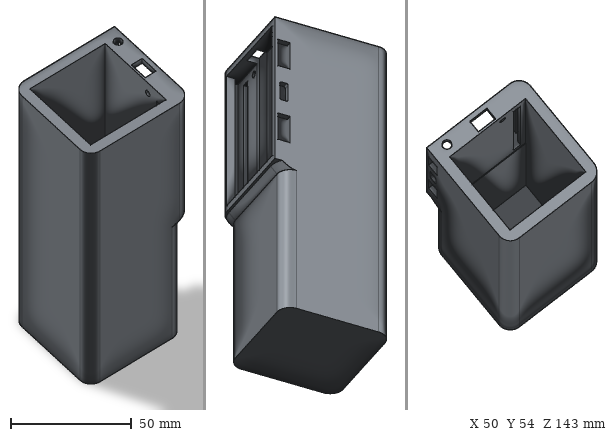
import cadquery as cq

height = 143
width = 50
corner_radius = 6.0
housing_depth = 4.0
housing_bottom = 72.1
ramp_size = 3.0

left = -width / 2
right = width / 2
front = -(width + housing_depth) / 2
tower_rear = front + width
rear = tower_rear + housing_depth

wall = 5.0
floor = 5.0
rear_ledge = 0.3
chamber_left = left + wall
chamber_right = right - wall
chamber_front = front + wall
chamber_rear = tower_rear - wall

pocket_wall = 2.6
top_wall = 3.0
pocket_floor = rear - 7.0
pocket_left = left + pocket_wall
pocket_right = right - pocket_wall
pocket_bottom = housing_bottom + ramp_size
pocket_top = height - top_wall
lip_edge = right - corner_radius

port_heights = (88.7, 125.5)
port_length = 13.2
port_rear = rear - 1.3
small_port_z = 106.8
small_port_length = 8.9
small_port_width = 3.9
small_port_radius = 0.9

button_diameter = 4.0
button_x = left + 7.5
button_y = rear - 4.1
switch_length = 9.0
switch_width = 5.7
switch_left = left + 21.0
switch_front = rear - 8.0

wire_hole_diameter = 2.9
wire_hole_x = right - 17.0
wire_hole_z = 136.4
wire_slot_width = 3.7
wire_slot_right = chamber_right - 2.6
wire_slot_top = 136.5


def block(x_min, x_max, y_min, y_max, z_min, z_max):
    """Axis-aligned block between the given limits."""
    size = (x_max - x_min, y_max - y_min, z_max - z_min)
    return cq.Workplane("XY").box(*size, centered=False).translate((x_min, y_min, z_min))


def make_ramp():
    """Frustum that flares from the tower outline to the underside of the housing at 45 degrees."""
    flared_width = width + 2 * ramp_size
    return (
        cq.Workplane("XY", origin=(0, front + width / 2, housing_bottom))
        .sketch()
        .rect(flared_width, flared_width)
        .vertices()
        .fillet(corner_radius + ramp_size)
        .finalize()
        .extrude(-ramp_size, taper=45)
    )


def make_shell():
    tower = block(left, right, front, tower_rear, 0, height)
    tower = tower.edges("|Z").fillet(corner_radius)
    housing_front = tower_rear - 2 * corner_radius
    housing = block(left, right, housing_front, rear, housing_bottom - ramp_size, height)
    housing = housing.edges(">X and >Y and |Z").fillet(corner_radius)
    above_ramp = block(left, right, front, rear, housing_bottom, height)
    return tower.union(housing.intersect(above_ramp.union(make_ramp())))


def make_chamber():
    lower_rear = chamber_rear - rear_ledge
    lower = block(chamber_left, chamber_right, chamber_front, lower_rear, floor, housing_bottom)
    upper = block(chamber_left, chamber_right, chamber_front, chamber_rear, housing_bottom, height)
    return lower.union(upper)


def make_pocket():
    inner = block(pocket_left, pocket_right, pocket_floor, tower_rear, pocket_bottom, pocket_top)
    opening = block(pocket_left, lip_edge, tower_rear, rear, pocket_bottom, pocket_top)
    return inner.union(opening)


def make_ports():
    small_port_x = left + pocket_wall / 2
    port_y = (pocket_floor + port_rear) / 2
    ports = cq.Workplane("XY").box(pocket_wall, small_port_width, small_port_length)
    ports = ports.edges("|X").fillet(small_port_radius)
    ports = ports.translate((small_port_x, port_y, small_port_z))
    for z in port_heights:
        bottom = z - port_length / 2
        ports = ports.union(block(left, pocket_left, pocket_floor, port_rear, bottom, bottom + port_length))
    return ports


def make_button_hole():
    hole = cq.Workplane("XY", origin=(button_x, button_y, pocket_top))
    return hole.circle(button_diameter / 2).extrude(height - pocket_top)


def make_switch_opening():
    """Opening in the top wall that continues as a groove down the pocket floor."""
    switch_right = switch_left + switch_length
    switch_rear = switch_front + switch_width
    return block(switch_left, switch_right, switch_front, switch_rear, pocket_bottom, height)


def make_wire_hole():
    hole = cq.Workplane("XZ", origin=(wire_hole_x, pocket_floor, wire_hole_z))
    return hole.circle(wire_hole_diameter / 2).extrude(pocket_floor - chamber_rear)


def make_wire_slot():
    slot_left = wire_slot_right - wire_slot_width
    return block(slot_left, wire_slot_right, chamber_rear, pocket_floor, pocket_bottom, wire_slot_top)


result = (
    make_shell()
    .cut(make_chamber())
    .cut(make_pocket())
    .cut(make_ports())
    .cut(make_button_hole())
    .cut(make_switch_opening())
    .cut(make_wire_hole())
    .cut(make_wire_slot())
)